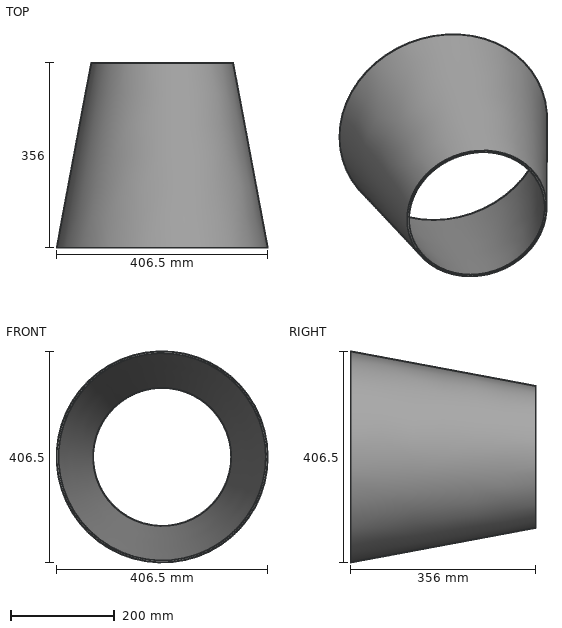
import cadquery as cq

large_diameter = 406.5
small_diameter = 273.0
length = 356.0
wall = 4.0

large_radius = large_diameter / 2
small_radius = small_diameter / 2
front_y = -length / 2
back_y = length / 2

wall_section = (
    cq.Workplane("XY")
    .moveTo(large_radius - wall, front_y)
    .lineTo(large_radius, front_y)
    .lineTo(small_radius, back_y)
    .lineTo(small_radius - wall, back_y)
    .close()
)

result = wall_section.revolve(360, (0, 0, 0), (0, 1, 0))